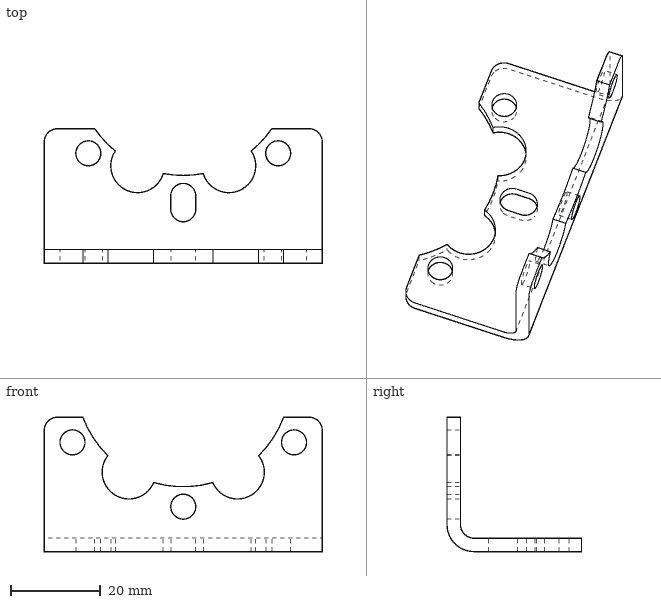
import cadquery as cq

length = 62.0
leg = 30.0
thickness = 3.05
inner_bend_radius = 3.05
outer_bend_radius = inner_bend_radius + thickness
corner_radius = 3.05

hole_diameter = 5.5
arch_radius = 23.9
lobe_radius = 5.95

upright_arch_height = 38.4
upright_lobe_offset = 12.1
upright_lobe_height = 17.75
upright_hole_offset = 24.7
upright_hole_height = 24.35
upright_center_hole_height = 10.05

base_arch_distance = 43.45
base_lobe_offset = 10.15
base_lobe_distance = 21.7
base_hole_offset = 21.15
base_hole_distance = 24.5
base_slot_distance = 13.5
base_slot_length = 8.5


def bent_sheet():
    """L-shaped bracket with a rounded bend and rounded free corners."""
    body = (
        cq.Workplane("YZ")
        .rect(leg, leg, centered=False)
        .extrude(length / 2, both=True)
        .edges("|X and <Y and <Z")
        .fillet(outer_bend_radius)
    )
    inside = (
        cq.Workplane("YZ")
        .moveTo(thickness, thickness)
        .rect(leg, leg, centered=False)
        .extrude(length / 2, both=True)
        .edges("|X and <Y and <Z")
        .fillet(inner_bend_radius)
    )
    sheet = body.cut(inside)
    sheet = sheet.faces(">Z").edges("|Y").fillet(corner_radius)
    return sheet.faces(">Y").edges("|Z").fillet(corner_radius)


def flange_cutter(plane, depth, arch_center, lobe_offset, lobe_center, hole_offset, hole_center):
    """Arch, two lobes and two mounting holes, symmetric about the centre line."""
    arch = plane.center(0, arch_center).circle(arch_radius).extrude(depth)
    lobes = (
        plane.pushPoints([(-lobe_offset, lobe_center), (lobe_offset, lobe_center)])
        .circle(lobe_radius)
        .extrude(depth)
    )
    holes = (
        plane.pushPoints([(-hole_offset, hole_center), (hole_offset, hole_center)])
        .circle(hole_diameter / 2)
        .extrude(depth)
    )
    return arch.union(lobes).union(holes)


upright_plane = cq.Workplane("XZ")
upright_cutter = flange_cutter(
    upright_plane, -thickness,
    upright_arch_height,
    upright_lobe_offset, upright_lobe_height,
    upright_hole_offset, upright_hole_height,
)
upright_center_hole = (
    upright_plane.center(0, upright_center_hole_height)
    .circle(hole_diameter / 2)
    .extrude(-thickness)
)

base_plane = cq.Workplane("XY")
base_cutter = flange_cutter(
    base_plane, thickness,
    base_arch_distance,
    base_lobe_offset, base_lobe_distance,
    base_hole_offset, base_hole_distance,
)
base_slot = (
    base_plane.center(0, base_slot_distance)
    .slot2D(base_slot_length, hole_diameter, 90)
    .extrude(thickness)
)

result = (
    bent_sheet()
    .cut(upright_cutter)
    .cut(upright_center_hole)
    .cut(base_cutter)
    .cut(base_slot)
)